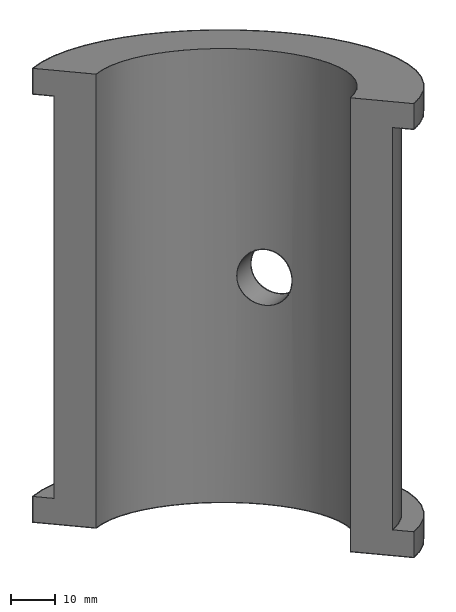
import cadquery as cq

length = 106.0
flange_diameter = 90.0
body_diameter = 80.0
bore_diameter = 60.0
flange_thickness = 6.0
oil_hole_diameter = 13.0

flange_radius = flange_diameter / 2
body_radius = body_diameter / 2
bore_radius = bore_diameter / 2


def half_shell():
    """Revolve the flanged wall section half a turn about Z, on the +Y side."""
    wall_section = (
        cq.Workplane("XZ")
        .moveTo(bore_radius, 0)
        .lineTo(flange_radius, 0)
        .lineTo(flange_radius, flange_thickness)
        .lineTo(body_radius, flange_thickness)
        .lineTo(body_radius, length - flange_thickness)
        .lineTo(flange_radius, length - flange_thickness)
        .lineTo(flange_radius, length)
        .lineTo(bore_radius, length)
        .close()
    )
    return wall_section.revolve(180, (0, 0, 0), (0, 1, 0))


def oil_hole():
    """Radial cylinder along +Y through the middle of the wall."""
    return (
        cq.Workplane("XZ")
        .center(0, length / 2)
        .circle(oil_hole_diameter / 2)
        .extrude(-flange_radius)
    )


result = half_shell().cut(oil_hole())